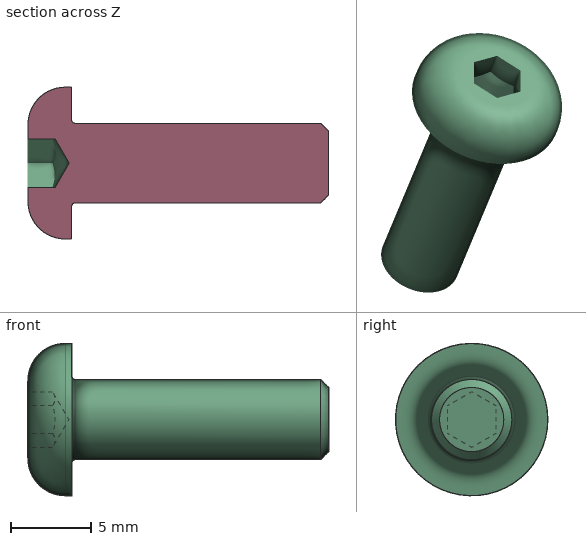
import cadquery as cq
import math

thread_diameter = 5.0
shank_length = 16.0
tip_chamfer = 0.5
neck_fillet = 0.2

head_diameter = 9.5
head_height = 2.75
rim_height = 0.4
crown_flat_diameter = head_diameter / 2

socket_sides = 6
socket_width = 3.0
socket_depth = 1.56
socket_cone_angle = 120.0

shank_radius = thread_diameter / 2
head_radius = head_diameter / 2
crown_flat_radius = crown_flat_diameter / 2
socket_corner_diameter = socket_width / math.cos(math.pi / socket_sides)
head_top = -head_height


def make_body():
    """Revolve the half profile of head and shank about the X axis."""
    dome_height = head_height - rim_height
    dome_width = head_radius - crown_flat_radius
    dome_radius = (dome_height**2 + dome_width**2) / (2 * dome_width)
    dome_centre_radius = head_radius - dome_radius
    half_sweep = math.asin(dome_height / dome_radius) / 2
    dome_middle = (
        -rim_height - dome_radius * math.sin(half_sweep),
        dome_centre_radius + dome_radius * math.cos(half_sweep),
    )

    fillet_middle = neck_fillet * (1 - math.sqrt(0.5))
    profile = (
        cq.Workplane("XY")
        .moveTo(head_top, 0)
        .lineTo(head_top, crown_flat_radius)
        .threePointArc(dome_middle, (-rim_height, head_radius))
        .lineTo(0, head_radius)
        .lineTo(0, shank_radius + neck_fillet)
        .threePointArc((fillet_middle, shank_radius + fillet_middle), (neck_fillet, shank_radius))
        .lineTo(shank_length - tip_chamfer, shank_radius)
        .lineTo(shank_length, shank_radius - tip_chamfer)
        .lineTo(shank_length, 0)
        .close()
    )
    return profile.revolve(360, (0, 0, 0), (1, 0, 0))


def make_socket():
    """Hexagonal socket with corners on the Z axis and a conical floor."""
    corner_radius = socket_corner_diameter / 2
    cone_depth = corner_radius / math.tan(math.radians(socket_cone_angle / 2))
    hexagon = (
        cq.Workplane("YZ", origin=(head_top, 0, 0))
        .transformed(rotate=(0, 0, 90))
        .polygon(socket_sides, socket_corner_diameter)
        .extrude(socket_depth + cone_depth)
    )
    envelope = (
        cq.Workplane("XY")
        .moveTo(head_top, 0)
        .lineTo(head_top, corner_radius)
        .lineTo(head_top + socket_depth, corner_radius)
        .lineTo(head_top + socket_depth + cone_depth, 0)
        .close()
        .revolve(360, (0, 0, 0), (1, 0, 0))
    )
    return hexagon.intersect(envelope)


result = make_body().cut(make_socket())